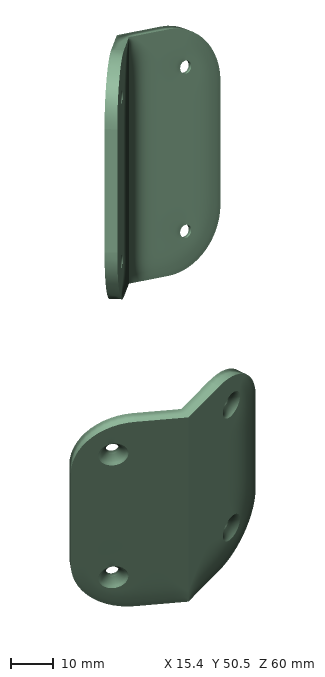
import cadquery as cq

height = 60.0
thickness = 3.0
leaf_length = 27.7
rear_lean = 27.4
front_lean = 21.0
corner_radius = 15.0

hole_diameter = 3.2
countersink_diameter = 7.1
countersink_angle = 90.0
hole_inset = 10.0

hole_from_bend = leaf_length - hole_inset
hole_height = height / 2 - hole_inset


def leaf(side):
    """Flat leaf along Y on the given side, outer face on X = 0, bend at the origin."""
    plate = (
        cq.Workplane("XY")
        .box(thickness, leaf_length, height, centered=(False, False, True))
        .edges("|X and >Y")
        .fillet(corner_radius)
    )
    plate = (
        plate.faces("<X")
        .workplane(origin=(0, 0, 0))
        .pushPoints([(-hole_from_bend, z) for z in (-hole_height, hole_height)])
        .cskHole(hole_diameter, countersink_diameter, countersink_angle)
    )
    return plate if side > 0 else plate.mirror("XZ")


def lean(plate, degrees):
    """Turn a leaf about the vertical bend line."""
    return plate.rotate((0, 0, 0), (0, 0, 1), degrees)


def mitre_side(degrees, side):
    """Block filling one side of the mitre plane through the bend line."""
    size = 2 * height
    block = cq.Workplane("XY").box(size, size, size).translate((0, side * size / 2, 0))
    return lean(block, degrees)


mitre_angle = (front_lean - rear_lean) / 2
rear_leaf = lean(leaf(1), -rear_lean).intersect(mitre_side(mitre_angle, 1))
front_leaf = lean(leaf(-1), front_lean).intersect(mitre_side(mitre_angle, -1))

result = rear_leaf.union(front_leaf)